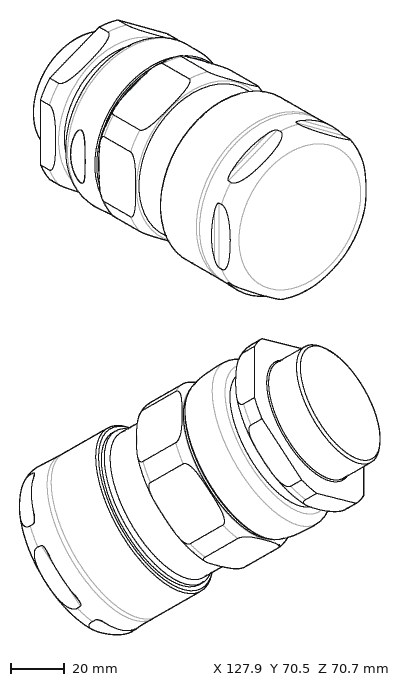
import cadquery as cq
import math


OVERALL_LENGTH = 127.9
HEX_SIDES = 6
ACROSS_FLATS = 65.2
CORNER_RADIUS = 70.7 / 2

STUB_RADIUS = 49.7 / 2
STUB_CHAMFER = 1.0
STUB_FLARE = 0.5
ENTRY_HEX_START = 14.8
ENTRY_HEX_END = 24.0
ENTRY_HEX_ROUND = 4.0
NECK_ROOT_RADIUS = 28.6
NECK_ROOT_BLEND_END = 26.0
NECK_ROOT_ARC = 2.8
NECK_RADIUS = 55.8 / 2
SPIGOT_RADIUS = 56.5 / 2

RING_START = 30.0
RING_END = 48.1
RING_FACE_RADIUS = 31.2
RING_CROWN_START = 33.4
RING_CROWN_END = 47.6
RING_CROWN_CENTRE = 37.1
RING_CROWN_ARC = 32.0
RING_MAX_RADIUS = 34.9
RING_EDGE_CHAMFER = RING_END - RING_CROWN_END
OVAL_CENTRE = 39.3
OVAL_LENGTH = 7.9
OVAL_HEIGHT = 22.2
OVAL_DEPTH = 0.1

SHOULDER_RADIUS = 31.8
NUT_HEX_START = 49.4
NUT_HEX_END = 71.1
NUT_HEX_ROUND = 3.1
BARREL_RADIUS = 62.1 / 2
COLLAR_START = 84.9
COLLAR_RADIUS = 32.6
COLLAR_CHAMFER = COLLAR_RADIUS - BARREL_RADIUS

CAP_START = 87.8
CAP_RADIUS = 35.0
CAP_CHAMFER = 0.8
CAP_FLARE_START = 109.8
CAP_CONE_START = 111.8
CAP_ROUND_START = 121.7
CAP_FACE_RADIUS = CORNER_RADIUS - (OVERALL_LENGTH - CAP_ROUND_START)
CAP_FLAT_START = 119.0
CAP_FLAT_BLEND = 1.2


def revolve_about_x(outline):
    """Turn a closed (x, radius) outline around the X axis."""
    return outline.close().revolve(360, (0, 0, 0), (1, 0, 0))


def cylinder(start, end, radius):
    return cq.Workplane("YZ").workplane(offset=start).circle(radius).extrude(end - start)


def hexagon_bar(start, end):
    corner_distance = ACROSS_FLATS / math.cos(math.pi / HEX_SIDES)
    return (
        cq.Workplane("YZ")
        .workplane(offset=start)
        .transformed(rotate=(0, 0, 90))
        .polygon(HEX_SIDES, corner_distance)
        .extrude(end - start)
    )


def hexagon_nut(start, end, rounded_faces, round_radius):
    """Hexagon with corners turned down to a cylinder that is rounded at the chosen faces."""
    blank = cylinder(start, end, CORNER_RADIUS)
    blank = blank.faces(rounded_faces).edges().fillet(round_radius)
    return blank.intersect(hexagon_bar(start, end))


def make_entry():
    stub = revolve_about_x(
        cq.Workplane("XY")
        .lineTo(0, STUB_RADIUS - STUB_CHAMFER)
        .lineTo(STUB_CHAMFER, STUB_RADIUS)
        .lineTo(ENTRY_HEX_START - STUB_FLARE, STUB_RADIUS)
        .lineTo(ENTRY_HEX_START, STUB_RADIUS + STUB_FLARE)
        .lineTo(ENTRY_HEX_START, 0)
    )
    hexagon = hexagon_nut(ENTRY_HEX_START, ENTRY_HEX_END, ">X", ENTRY_HEX_ROUND)
    neck = revolve_about_x(
        cq.Workplane("XY")
        .moveTo(ENTRY_HEX_END, 0)
        .lineTo(ENTRY_HEX_END, NECK_ROOT_RADIUS)
        .radiusArc((NECK_ROOT_BLEND_END, NECK_RADIUS), -NECK_ROOT_ARC)
        .lineTo(RING_START, SPIGOT_RADIUS)
        .lineTo(RING_END, SPIGOT_RADIUS)
        .lineTo(RING_END, 0)
    )
    return stub.union(hexagon).union(neck)


def crown_radius(x):
    """Radius of the ring's barrel-shaped crown at x."""
    sagitta = RING_CROWN_ARC - math.sqrt(RING_CROWN_ARC**2 - (x - RING_CROWN_CENTRE) ** 2)
    return RING_MAX_RADIUS - sagitta


def make_oval_recess():
    """Shallow oval mark that follows the crown on the -Y side."""
    floor = RING_MAX_RADIUS - OVAL_DEPTH
    x0 = RING_CROWN_START
    x1 = RING_CROWN_END
    skin = revolve_about_x(
        cq.Workplane("XY")
        .moveTo(x0, crown_radius(x0) - OVAL_DEPTH)
        .threePointArc((RING_CROWN_CENTRE, floor), (x1, crown_radius(x1) - OVAL_DEPTH))
        .lineTo(x1, crown_radius(x1))
        .threePointArc((RING_CROWN_CENTRE, RING_MAX_RADIUS), (x0, crown_radius(x0)))
    )
    oval = (
        cq.Workplane("XZ")
        .center(OVAL_CENTRE, 0)
        .ellipse(OVAL_LENGTH / 2, OVAL_HEIGHT / 2)
        .extrude(CORNER_RADIUS)
    )
    return skin.intersect(oval)


def make_ring():
    edge_radius = crown_radius(RING_CROWN_END)
    shoulder = RING_CROWN_START - RING_START
    rise = crown_radius(RING_CROWN_START) - RING_FACE_RADIUS
    diagonal = math.sqrt(0.5)
    ring = revolve_about_x(
        cq.Workplane("XY")
        .moveTo(RING_START, SPIGOT_RADIUS)
        .lineTo(RING_START, RING_FACE_RADIUS)
        .threePointArc(
            (RING_CROWN_START - shoulder * diagonal, RING_FACE_RADIUS + rise * diagonal),
            (RING_CROWN_START, crown_radius(RING_CROWN_START)),
        )
        .threePointArc((RING_CROWN_CENTRE, RING_MAX_RADIUS), (RING_CROWN_END, edge_radius))
        .lineTo(RING_END, edge_radius - RING_EDGE_CHAMFER)
        .lineTo(RING_END, SPIGOT_RADIUS)
    )
    return ring.cut(make_oval_recess())


def make_middle_nut():
    shoulder = cylinder(RING_END, NUT_HEX_START, SHOULDER_RADIUS)
    hexagon = hexagon_nut(NUT_HEX_START, NUT_HEX_END, "<X or >X", NUT_HEX_ROUND)
    barrel = revolve_about_x(
        cq.Workplane("XY")
        .moveTo(NUT_HEX_END, 0)
        .lineTo(NUT_HEX_END, BARREL_RADIUS)
        .lineTo(COLLAR_START, BARREL_RADIUS)
        .lineTo(COLLAR_START + COLLAR_CHAMFER, COLLAR_RADIUS)
        .lineTo(CAP_FLARE_START, COLLAR_RADIUS)
        .lineTo(CAP_FLARE_START, 0)
    )
    return shoulder.union(hexagon).union(barrel)


def make_cap_flat_cutter():
    """Block above the +Y wrench flat, rounded where the flat meets the cap's shoulder."""
    inner_face = ACROSS_FLATS / 2
    outer_face = CORNER_RADIUS + CAP_FLAT_BLEND
    block = (
        cq.Workplane("XY")
        .moveTo(CAP_FLAT_START, inner_face)
        .lineTo(OVERALL_LENGTH, inner_face)
        .lineTo(OVERALL_LENGTH, outer_face)
        .lineTo(CAP_FLAT_START, outer_face)
        .close()
        .extrude(CORNER_RADIUS, both=True)
    )
    return block.edges("<X and <Y").fillet(CAP_FLAT_BLEND)


def make_cap():
    blend_length = CAP_CONE_START - CAP_FLARE_START
    cone_length = CAP_ROUND_START - CAP_CONE_START
    cone_slope = (CORNER_RADIUS - CAP_RADIUS) / (cone_length + blend_length / 2)
    cone_start_radius = CAP_RADIUS + cone_slope * blend_length / 2
    cap = revolve_about_x(
        cq.Workplane("XY")
        .moveTo(CAP_START, COLLAR_RADIUS)
        .lineTo(CAP_START, CAP_RADIUS - CAP_CHAMFER)
        .lineTo(CAP_START + CAP_CHAMFER, CAP_RADIUS)
        .lineTo(CAP_FLARE_START, CAP_RADIUS)
        .tangentArcPoint((CAP_CONE_START, cone_start_radius), relative=False)
        .lineTo(CAP_ROUND_START, CORNER_RADIUS)
        .tangentArcPoint((OVERALL_LENGTH, CAP_FACE_RADIUS), relative=False)
        .lineTo(OVERALL_LENGTH, 0)
        .lineTo(CAP_FLARE_START, 0)
        .lineTo(CAP_FLARE_START, COLLAR_RADIUS)
    )
    cutter = make_cap_flat_cutter()
    for flat in range(HEX_SIDES):
        cap = cap.cut(cutter.rotate((0, 0, 0), (1, 0, 0), flat * 360 / HEX_SIDES))
    return cap


entry = make_entry()
ring = make_ring()
middle_nut = make_middle_nut()
cap = make_cap()

result = cq.Compound.makeCompound([entry.val(), ring.val(), middle_nut.val(), cap.val()])